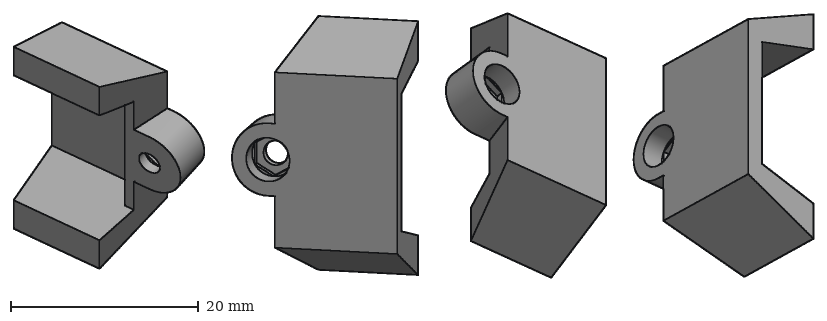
import cadquery as cq

height = 27.68
depth = 9.4
back_height = 19.1
mouth_height = 19.0
floor_height = 15.0
floor_thickness = 2.0
floor_y = depth - floor_thickness

front_length = 10.93
back_length = 13.42

wall_inner_x = 11.05
wall_depth = 4.65
wall_front_y = depth - wall_depth

total_length = 18.13
lug_diameter = 7.92
lug_x = total_length - lug_diameter / 2
hole_diameter = 2.65
counterbore_diameter = 4.75
counterbore_depth = 2.63
hex_diameter = counterbore_diameter
hex_depth = 0.8


def trapezoid_prism(front_height, rear_height, rear_y, length):
    """Extrude a Z-symmetric trapezoid from Y = 0 to rear_y along +X."""
    return (
        cq.Workplane("YZ")
        .polyline([
            (0, -front_height / 2),
            (rear_y, -rear_height / 2),
            (rear_y, rear_height / 2),
            (0, front_height / 2),
        ])
        .close()
        .extrude(length)
    )


def y_cylinder(diameter, start_y, end_y):
    """Cylinder along Y on the lug axis."""
    return (
        cq.Workplane("XZ", origin=(lug_x, start_y, 0))
        .circle(diameter / 2)
        .extrude(start_y - end_y)
    )


def make_body():
    outer = trapezoid_prism(height, back_height, depth, back_length)
    channel = trapezoid_prism(mouth_height, floor_height, floor_y, back_length)
    wall = (
        cq.Workplane("XY")
        .box(back_length - wall_inner_x, wall_depth, back_height, centered=(False, False, True))
        .translate((wall_inner_x, wall_front_y, 0))
    )
    leaning_end = (
        cq.Workplane("XY", origin=(0, 0, -height / 2))
        .polyline([(0, 0), (front_length, 0), (back_length, depth), (0, depth)])
        .close()
        .extrude(height)
    )
    return outer.cut(channel.cut(wall)).intersect(leaning_end)


def make_lug():
    radius = lug_diameter / 2
    return (
        cq.Workplane("XZ", origin=(0, wall_front_y, 0))
        .moveTo(wall_inner_x, -radius)
        .lineTo(lug_x, -radius)
        .threePointArc((total_length, 0), (lug_x, radius))
        .lineTo(wall_inner_x, radius)
        .close()
        .extrude(-wall_depth)
    )


def make_screw_hole():
    """Through hole with a hexagonal seat and a round counterbore sunk from the back."""
    counterbore_y = depth - counterbore_depth
    hex_seat = (
        cq.Workplane("XZ", origin=(lug_x, counterbore_y, 0))
        .transformed(rotate=(0, 0, 90))
        .polygon(6, hex_diameter)
        .extrude(hex_depth)
    )
    return (
        y_cylinder(hole_diameter, wall_front_y, depth)
        .union(y_cylinder(counterbore_diameter, counterbore_y, depth))
        .union(hex_seat)
    )


result = make_body().union(make_lug()).cut(make_screw_hole())